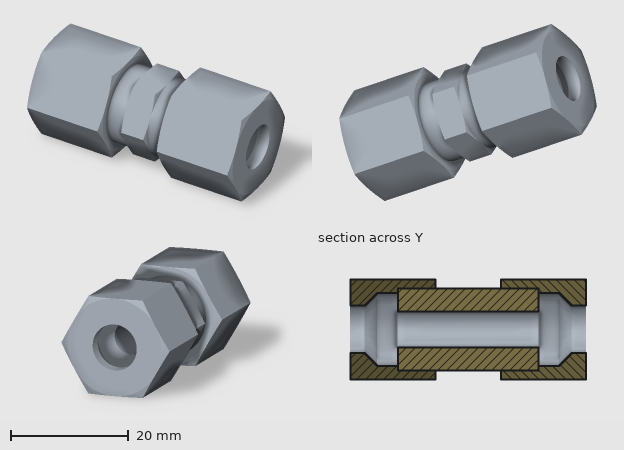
import cadquery as cq
import math

TOTAL_LENGTH = 40.0

NUT_FLATS = 17.0
NUT_LENGTH = 14.5
TUBE_HOLE_DIAMETER = 8.0
TUBE_HOLE_DEPTH = 2.4
CAVITY_DIAMETER = 12.35
CONE_HALF_ANGLE = 45.0

SHANK_DIAMETER = 14.0
BODY_LENGTH = 24.0
BORE_DIAMETER = 6.0
COLLAR_FLATS = SHANK_DIAMETER
COLLAR_WIDTH = 4.9

CHAMFER_ANGLE = 15.0

HALF_LENGTH = TOTAL_LENGTH / 2
NUT_INNER_END = HALF_LENGTH - NUT_LENGTH
BODY_END = BODY_LENGTH / 2
CONE_SMALL_END = HALF_LENGTH - TUBE_HOLE_DEPTH
CONE_LENGTH = (CAVITY_DIAMETER - TUBE_HOLE_DIAMETER) / 2 / math.tan(math.radians(CONE_HALF_ANGLE))
CONE_LARGE_END = CONE_SMALL_END - CONE_LENGTH


def cylinder(diameter, start, end):
    """Round bar along X between two positions."""
    return cq.Workplane("YZ", origin=(start, 0, 0)).circle(diameter / 2).extrude(end - start)


def revolve_about_x(profile):
    """Turn a closed (x, radius) outline about the X axis."""
    return cq.Workplane("XY").polyline(profile).close().revolve(360, (0, 0, 0), (1, 0, 0))


def chamfered_hexagon(flats, start, end):
    """Hexagonal bar along X, flats up and down, corners turned off at both ends."""
    corner_radius = flats / math.sqrt(3)
    bar = cq.Workplane("YZ", origin=(start, 0, 0)).polygon(6, 2 * corner_radius).extrude(end - start)
    chamfer_length = (corner_radius - flats / 2) * math.tan(math.radians(CHAMFER_ANGLE))
    turned = revolve_about_x([
        (start, 0),
        (start, flats / 2),
        (start + chamfer_length, corner_radius),
        (end - chamfer_length, corner_radius),
        (end, flats / 2),
        (end, 0),
    ])
    return bar.intersect(turned)


def make_body():
    """Double-ended body: hexagonal collar, round shanks and a through bore."""
    shanks = cylinder(SHANK_DIAMETER, -BODY_END, BODY_END)
    collar = chamfered_hexagon(COLLAR_FLATS, -COLLAR_WIDTH / 2, COLLAR_WIDTH / 2)
    bore = cylinder(BORE_DIAMETER, -BODY_END, BODY_END)
    return shanks.union(collar).cut(bore)


def make_nut(side):
    """Union nut on the given side (-1 or +1): shank socket, cavity, cone and tube hole."""
    nut = chamfered_hexagon(NUT_FLATS, NUT_INNER_END, HALF_LENGTH)
    inside = revolve_about_x([
        (NUT_INNER_END, 0),
        (NUT_INNER_END, SHANK_DIAMETER / 2),
        (BODY_END, SHANK_DIAMETER / 2),
        (BODY_END, CAVITY_DIAMETER / 2),
        (CONE_LARGE_END, CAVITY_DIAMETER / 2),
        (CONE_SMALL_END, TUBE_HOLE_DIAMETER / 2),
        (HALF_LENGTH, TUBE_HOLE_DIAMETER / 2),
        (HALF_LENGTH, 0),
    ])
    nut = nut.cut(inside)
    return nut if side > 0 else nut.mirror("YZ")


body = make_body()
nuts = [make_nut(side) for side in (-1, 1)]

result = cq.Compound.makeCompound([body.val(), *[nut.val() for nut in nuts]])